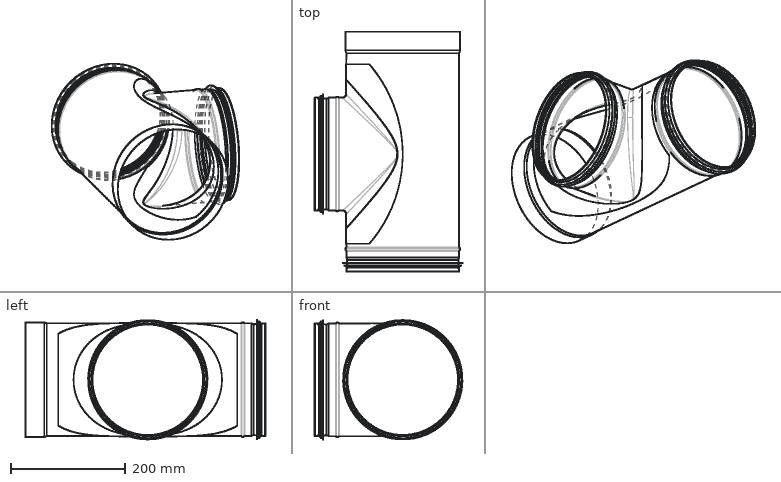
import cadquery as cq
import math

sheet = 0.5
pipe_radius = 197.95 / 2
saddle_radius = pipe_radius + sheet

socket_end_y = 214.2
spigot_end_y = socket_end_y - 420.5
branch_end_x = 209.35 / 2 - 259.17

groove_floor_radius = 194.15 / 2
rim_length = 7.2
groove_floor_end = 21.7
groove_end = 25.3
bead_middle = 40.0
bead_half_width = 3.75
bead_radius = 201.35 / 2

socket_radius = 201.35 / 2
socket_length = 33.0
socket_taper_length = 4.8

gasket_base_radius = 195.35 / 2
outer_lip_radius = 204.35 / 2
inner_lip_radius = 209.35 / 2
gasket_base_end = 20.5
lip_thickness = 1.0
outer_lip_root = 8.3
outer_lip_start = 11.0
inner_lip_start = 14.8

saddle_half_length = 157.0
saddle_edge_radius = 240.0
saddle_fillet = 6.0
joint_margin = 5.0
opening_outer_radius = 130.0
opening_inner_radius = 95.0

main_plane = cq.Plane(origin=(0, spigot_end_y, 0), xDir=(0, 1, 0), normal=(1, 0, 0))
branch_plane = cq.Plane(origin=(branch_end_x, 0, 0), xDir=(1, 0, 0), normal=(0, 1, 0))
fold_radius = (pipe_radius - groove_floor_radius + sheet) / 2
main_length = socket_end_y - spigot_end_y
branch_length = -branch_end_x


def turned(profile):
    """Turns a closed profile about the first axis of its plane."""
    return profile.close().revolve(360, (0, 0, 0), (1, 0, 0))


def cylinder(plane, radius, length):
    return turned(cq.Workplane(plane).lineTo(0, radius).lineTo(length, radius).lineTo(length, 0))


def spigot_line(plane, inset):
    """Starts a profile that follows a spigot's wall, `inset` below its outer surface.

    It runs from the axis at the start of the folded rim's bend, along the groove's floor,
    to just past the bead.
    """
    wall = pipe_radius - inset
    floor = groove_floor_radius - inset

    slope = 2 * math.atan2(bead_radius - pipe_radius, bead_half_width)
    arc_radius = bead_half_width / math.sin(slope) / 2
    crest_top = bead_radius - inset
    root = arc_radius + inset
    root_centre = pipe_radius + arc_radius

    def root_point(side, angle):
        along = bead_middle + side * (bead_half_width - root * math.sin(angle))
        return along, root_centre - root * math.cos(angle)

    return (
        cq.Workplane(plane)
        .moveTo(fold_radius, 0)
        .lineTo(fold_radius, floor)
        .lineTo(groove_floor_end, floor)
        .lineTo(groove_end, wall)
        .lineTo(*root_point(-1, 0))
        .threePointArc(root_point(-1, slope / 2), root_point(-1, slope))
        .threePointArc((bead_middle, crest_top), root_point(1, slope))
        .threePointArc(root_point(1, slope / 2), root_point(1, 0))
    )


def main_form(inset):
    """The main pipe as a full round form, `inset` below its outer surface."""
    taper_end = main_length - socket_length
    return turned(
        spigot_line(main_plane, inset)
        .lineTo(taper_end - socket_taper_length, pipe_radius - inset)
        .lineTo(taper_end, socket_radius - inset)
        .lineTo(main_length, socket_radius - inset)
        .lineTo(main_length, 0)
    )


def branch_form(inset):
    """The branch as a full round form reaching the main pipe's axis."""
    return turned(
        spigot_line(branch_plane, inset)
        .lineTo(branch_length, pipe_radius - inset)
        .lineTo(branch_length, 0)
    )


def folded_rim(plane):
    """The sheet's end, folded outwards through a half circle and back over the groove's end."""
    bend_middle = groove_floor_radius - sheet + fold_radius
    inner_bend = fold_radius - sheet
    return turned(
        cq.Workplane(plane)
        .moveTo(fold_radius, bend_middle - fold_radius)
        .threePointArc((0, bend_middle), (fold_radius, bend_middle + fold_radius))
        .lineTo(rim_length, bend_middle + fold_radius)
        .lineTo(rim_length, bend_middle + inner_bend)
        .lineTo(fold_radius, bend_middle + inner_bend)
        .threePointArc((sheet, bend_middle), (fold_radius, bend_middle - inner_bend))
    )


def make_main_pipe():
    """The straight pipe with a conical opening under the saddle."""
    pipe = main_form(0).cut(main_form(sheet)).union(folded_rim(main_plane))
    opening = turned(
        cq.Workplane("XY")
        .lineTo(0, opening_inner_radius)
        .lineTo(-pipe_radius, opening_outer_radius)
        .lineTo(-pipe_radius, 0)
    )
    return pipe.cut(opening)


def saddle_form(inset, fillet):
    """The branch joined to a round form along the main pipe, with a fillet where they meet."""
    plate_plane = cq.Plane(origin=(0, -main_length / 2, 0), xDir=(0, 1, 0), normal=(0, 0, 1))
    plate = cylinder(plate_plane, saddle_radius - inset, main_length)
    joined = plate.union(branch_form(inset))
    reach = pipe_radius - inset + joint_margin
    joint_box = cq.selectors.BoxSelector(
        (-reach, -reach, -saddle_radius), (0, reach, saddle_radius), boundingbox=True
    )
    return joined.edges(joint_box).fillet(fillet)


def make_saddle_branch():
    """The branch pipe and the saddle plate that wraps half of the main pipe."""
    shell = (
        saddle_form(0, saddle_fillet)
        .cut(saddle_form(sheet, saddle_fillet + sheet))
        .union(folded_rim(branch_plane))
    )
    edge_setback = saddle_edge_radius - math.sqrt(saddle_edge_radius**2 - saddle_half_length**2)
    extent = (
        cq.Workplane("XY", origin=(0, 0, -2 * saddle_radius))
        .moveTo(branch_end_x, -saddle_half_length)
        .lineTo(-edge_setback, -saddle_half_length)
        .threePointArc((0, 0), (-edge_setback, saddle_half_length))
        .lineTo(branch_end_x, saddle_half_length)
        .close()
        .extrude(4 * saddle_radius)
    )
    return shell.intersect(extent)


def make_gasket(plane):
    """A ring on the groove floor with two thin lips standing out from it."""
    return turned(
        cq.Workplane(plane)
        .moveTo(fold_radius, groove_floor_radius)
        .lineTo(fold_radius, gasket_base_radius)
        .lineTo(outer_lip_root, gasket_base_radius)
        .lineTo(outer_lip_start, outer_lip_radius)
        .lineTo(outer_lip_start + lip_thickness, outer_lip_radius)
        .lineTo(outer_lip_start + lip_thickness, gasket_base_radius)
        .lineTo(inner_lip_start, gasket_base_radius)
        .lineTo(inner_lip_start, inner_lip_radius)
        .lineTo(inner_lip_start + lip_thickness, inner_lip_radius)
        .lineTo(inner_lip_start + lip_thickness, gasket_base_radius)
        .lineTo(gasket_base_end, gasket_base_radius)
        .lineTo(gasket_base_end, groove_floor_radius)
    )


main_pipe = make_main_pipe()
saddle_branch = make_saddle_branch()
gaskets = [make_gasket(plane) for plane in (main_plane, branch_plane)]

result = cq.Compound.makeCompound(
    [
        *main_pipe.solids().vals(),
        *saddle_branch.solids().vals(),
        *[gasket.val() for gasket in gaskets],
    ]
)